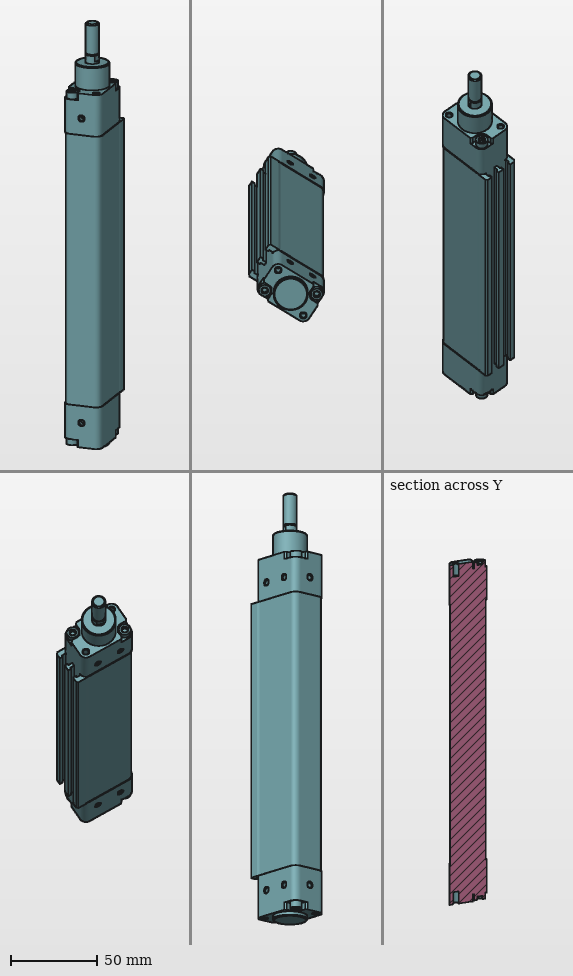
import cadquery as cq
import math


BOSS_HEIGHT = 2.5
HEAD_HEIGHT = 25.5
BARREL_LENGTH = 165.0
COLLAR_HEIGHT = 14.0
TOTAL_HEIGHT = 256.5
LOWER_HEAD_Z = BOSS_HEIGHT
BARREL_Z = LOWER_HEAD_Z + HEAD_HEIGHT
UPPER_HEAD_Z = BARREL_Z + BARREL_LENGTH
COLLAR_Z = UPPER_HEAD_Z + HEAD_HEIGHT
COLLAR_TOP_Z = COLLAR_Z + COLLAR_HEIGHT

WIDTH = 23.0
HEAD_DEPTH = 35.0
CORNER_RADIUS = 4.0
COLLAR_DIAMETER = 20.0
COLLAR_CHAMFER = 0.65

TOTAL_DEPTH = 39.5
BARREL_WIDTH = 22.3
BARREL_INSET = 0.5
BARREL_CORNER_RADIUS = 3.5
BARREL_FRONT_Y = BARREL_INSET - HEAD_DEPTH / 2
RAIL_TOP_Y = TOTAL_DEPTH - HEAD_DEPTH / 2
RAIL_WIDTH = WIDTH
SHOULDER_START_Y = 14.0
SHOULDER_END_Y = 15.6
RAIL_CHAMFER = 1.0
SLOT_DEPTH = RAIL_TOP_Y - HEAD_DEPTH / 2
LIP_THICKNESS = 2.0
SLOT_CENTRE_X = 4.5
SLOT_MOUTH_WIDTH = 5.5
SLOT_INNER_WIDTH = 7.2

THREAD_CORE_DIAMETER = 3.0
THREAD_MOUTH_DIAMETER = 4.0
THREAD_MOUTH_DEPTH = (THREAD_MOUTH_DIAMETER - THREAD_CORE_DIAMETER) / 2
MOUNTING_HOLE_X = 7.7
MOUNTING_HOLE_Y = 13.5
MOUNTING_HOLE_DEPTH = 7.7
SIDE_HOLE_DEPTH = 3.8
SIDE_HOLE_Y = 7.7
PORT_FROM_HEAD_END = 15.1

SCREW_X = 7.2
SCREW_Y = 13.3
POCKET_DIAMETER = 8.5
POCKET_DEPTH = 4.4
POCKET_FLARE = 1.0
SCREW_HEAD_DIAMETER = 7.0
SCREW_HEAD_HEIGHT = 3.8
SOCKET_MOUTH_DIAMETER = 4.0
SOCKET_WIDTH = 3.0
SOCKET_DEPTH = 2.0

ROD_DIAMETER = 8.0
THREAD_LENGTH = 19.2
ROD_TIP_CHAMFER = 0.8
RELIEF_DIAMETER = 7.5
RELIEF_WIDTH = 0.8
FLAT_DISTANCE = 7.0
FLAT_ANGLE = -18
FLAT_FROM_COLLAR = 1.3
THREAD_Z = TOTAL_HEIGHT - THREAD_LENGTH


def make_threaded_hole(origin, inward, depth):
    """Blind hole with a countersunk mouth, running from origin along the inward direction."""
    core = cq.Solid.makeCylinder(THREAD_CORE_DIAMETER / 2, depth, origin, inward)
    mouth = cq.Solid.makeCone(
        THREAD_MOUTH_DIAMETER / 2, THREAD_CORE_DIAMETER / 2, THREAD_MOUTH_DEPTH, origin, inward
    )
    return core.fuse(mouth)


def make_screw_pocket():
    """Round pocket about the screw axis, opened with flared walls to the -X and -Y faces."""
    radius = POCKET_DIAMETER / 2
    side_wall = WIDTH / 2 - SCREW_X
    front_wall = HEAD_DEPTH / 2 - SCREW_Y
    flare = POCKET_FLARE
    outline = (
        cq.Workplane("XY")
        .moveTo(radius, 0)
        .lineTo(radius, flare - front_wall)
        .lineTo(radius + flare, -front_wall)
        .lineTo(-side_wall, -front_wall)
        .lineTo(-side_wall, radius + flare)
        .lineTo(flare - side_wall, radius)
        .lineTo(0, radius)
        .threePointArc((radius * math.sqrt(0.5), radius * math.sqrt(0.5)), (radius, 0))
        .close()
    )
    return outline.extrude(-POCKET_DEPTH)


def make_screw_head():
    """Socket screw head standing on the pocket floor."""
    head = cq.Workplane("XY").workplane(offset=-POCKET_DEPTH).circle(SCREW_HEAD_DIAMETER / 2)
    head = head.extrude(SCREW_HEAD_HEIGHT)
    top_z = SCREW_HEAD_HEIGHT - POCKET_DEPTH
    mouth_depth = (SOCKET_MOUTH_DIAMETER - SOCKET_WIDTH) / 2
    mouth = cq.Solid.makeCone(
        SOCKET_MOUTH_DIAMETER / 2, SOCKET_WIDTH / 2, mouth_depth, cq.Vector(0, 0, top_z), cq.Vector(0, 0, -1)
    )
    socket = cq.Workplane("XY").workplane(offset=top_z).polygon(6, SOCKET_WIDTH, circumscribed=True)
    return head.cut(mouth).cut(socket.extrude(-SOCKET_DEPTH))


def make_head():
    """End head with its outer end face on Z = 0 and its body below."""
    head = (
        cq.Workplane("XY")
        .rect(WIDTH, HEAD_DEPTH)
        .extrude(-HEAD_HEIGHT)
        .edges("|Z")
        .fillet(CORNER_RADIUS)
    )
    pocket = make_screw_pocket()
    screw_head = make_screw_head()
    for side, turn in ((-1, 0), (1, 180)):
        place = cq.Location(cq.Vector(side * SCREW_X, side * SCREW_Y, 0), cq.Vector(0, 0, 1), turn)
        head = head.cut(pocket.val().moved(place))
        head = head.union(screw_head.val().moved(place))
        mounting_origin = cq.Vector(side * MOUNTING_HOLE_X, -side * MOUNTING_HOLE_Y, 0)
        head = head.cut(make_threaded_hole(mounting_origin, cq.Vector(0, 0, -1), MOUNTING_HOLE_DEPTH))
        side_origin = cq.Vector(-WIDTH / 2, side * SIDE_HOLE_Y, -PORT_FROM_HEAD_END)
        head = head.cut(make_threaded_hole(side_origin, cq.Vector(1, 0, 0), SIDE_HOLE_DEPTH))
    front_origin = cq.Vector(0, -HEAD_DEPTH / 2, -PORT_FROM_HEAD_END)
    return head.cut(make_threaded_hole(front_origin, cq.Vector(0, 1, 0), SIDE_HOLE_DEPTH))


def make_barrel():
    """Constant-section barrel with two T-slots in a slightly wider rail behind sloping shoulders."""
    barrel = (
        cq.Workplane("XY")
        .moveTo(-BARREL_WIDTH / 2, BARREL_FRONT_Y)
        .lineTo(BARREL_WIDTH / 2, BARREL_FRONT_Y)
        .lineTo(BARREL_WIDTH / 2, SHOULDER_START_Y)
        .lineTo(RAIL_WIDTH / 2, SHOULDER_END_Y)
        .lineTo(RAIL_WIDTH / 2, RAIL_TOP_Y)
        .lineTo(-RAIL_WIDTH / 2, RAIL_TOP_Y)
        .lineTo(-RAIL_WIDTH / 2, SHOULDER_END_Y)
        .lineTo(-BARREL_WIDTH / 2, SHOULDER_START_Y)
        .close()
        .extrude(BARREL_LENGTH)
        .edges("|Z and <Y")
        .fillet(BARREL_CORNER_RADIUS)
        .edges("|Z and >Y")
        .chamfer(RAIL_CHAMFER)
    )
    inner_depth = SLOT_DEPTH - LIP_THICKNESS
    floor_y = RAIL_TOP_Y - SLOT_DEPTH
    for side in (-1, 1):
        slot_x = side * SLOT_CENTRE_X
        mouth = cq.Workplane("XY").center(slot_x, floor_y + SLOT_DEPTH / 2).rect(SLOT_MOUTH_WIDTH, SLOT_DEPTH)
        inner = cq.Workplane("XY").center(slot_x, floor_y + inner_depth / 2).rect(SLOT_INNER_WIDTH, inner_depth)
        for cutter in (mouth, inner):
            barrel = barrel.cut(cutter.extrude(BARREL_LENGTH))
    return barrel.translate((0, 0, BARREL_Z))


def make_collar():
    """Guide collar on top of the upper head."""
    collar = cq.Workplane("XY").workplane(offset=COLLAR_Z).circle(COLLAR_DIAMETER / 2).extrude(COLLAR_HEIGHT)
    return collar.faces(">Z").chamfer(COLLAR_CHAMFER)


def make_boss():
    """Centring boss under the lower head."""
    boss = cq.Workplane("XY").circle(COLLAR_DIAMETER / 2).extrude(BOSS_HEIGHT)
    return boss.faces("<Z").chamfer(COLLAR_CHAMFER)


def make_housing():
    """Barrel, both heads, collar and boss, with a blind bore for the rod through the upper head."""
    upper_head = make_head().translate((0, 0, COLLAR_Z))
    lower_head = make_head().mirror("XY").translate((0, 0, LOWER_HEAD_Z))
    housing = make_barrel().union(upper_head).union(lower_head).union(make_collar()).union(make_boss())
    bore = (
        cq.Workplane("XY")
        .workplane(offset=UPPER_HEAD_Z)
        .circle(ROD_DIAMETER / 2)
        .extrude(COLLAR_TOP_Z - UPPER_HEAD_Z)
    )
    return housing.cut(bore)


def make_rod():
    """Rod with a threaded end, a relief groove and two wrench flats."""
    radius = ROD_DIAMETER / 2
    rod = (
        cq.Workplane("XZ")
        .moveTo(0, UPPER_HEAD_Z)
        .lineTo(radius, UPPER_HEAD_Z)
        .lineTo(radius, THREAD_Z)
        .lineTo(RELIEF_DIAMETER / 2, THREAD_Z)
        .lineTo(RELIEF_DIAMETER / 2, THREAD_Z + RELIEF_WIDTH)
        .lineTo(radius, THREAD_Z + RELIEF_WIDTH)
        .lineTo(radius, TOTAL_HEIGHT - ROD_TIP_CHAMFER)
        .lineTo(radius - ROD_TIP_CHAMFER, TOTAL_HEIGHT)
        .lineTo(0, TOTAL_HEIGHT)
        .close()
        .revolve(360, (0, 0, 0), (0, 1, 0))
    )
    flat_z = COLLAR_TOP_Z + FLAT_FROM_COLLAR
    for side in (-1, 1):
        flat = (
            cq.Workplane("XY")
            .workplane(offset=flat_z)
            .center(side * (FLAT_DISTANCE + ROD_DIAMETER) / 2, 0)
            .rect(ROD_DIAMETER, ROD_DIAMETER)
            .extrude(THREAD_Z - flat_z)
            .rotate((0, 0, 0), (0, 0, 1), FLAT_ANGLE)
        )
        rod = rod.cut(flat)
    return rod


housing = make_housing()
rod = make_rod()

result = cq.Compound.makeCompound([housing.val(), rod.val()])